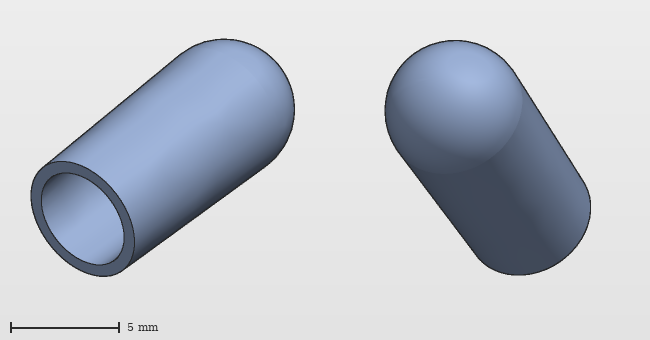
import cadquery as cq
import math

length = 14.0
open_diameter = 6.0
bore_diameter = 4.8
dome_diameter = 6.5

dome_radius = dome_diameter / 2
dome_center = length - dome_radius
open_radius = open_diameter / 2
wall = (open_diameter - bore_diameter) / 2

rim_to_center = math.hypot(dome_center, open_radius)
taper = math.asin(dome_radius / rim_to_center) - math.atan2(open_radius, dome_center)


def domed_cone(rim_radius, sphere_radius):
    """Solid cone about Y whose wide end closes in a tangent spherical dome."""
    seam_radius = sphere_radius * math.cos(taper)
    seam_y = dome_center - sphere_radius * math.sin(taper)
    arc_middle = sphere_radius * math.sqrt(0.5)
    return (
        cq.Workplane("XY")
        .lineTo(rim_radius, 0)
        .lineTo(seam_radius, seam_y)
        .threePointArc((arc_middle, dome_center + arc_middle), (0, dome_center + sphere_radius))
        .close()
        .revolve(360, (0, 0, 0), (0, 1, 0))
    )


inner_dome_radius = dome_radius - wall
inner_rim_radius = inner_dome_radius / math.cos(taper) - dome_center * math.tan(taper)

outside = domed_cone(open_radius, dome_radius)
cavity = domed_cone(inner_rim_radius, inner_dome_radius)
result = outside.cut(cavity)